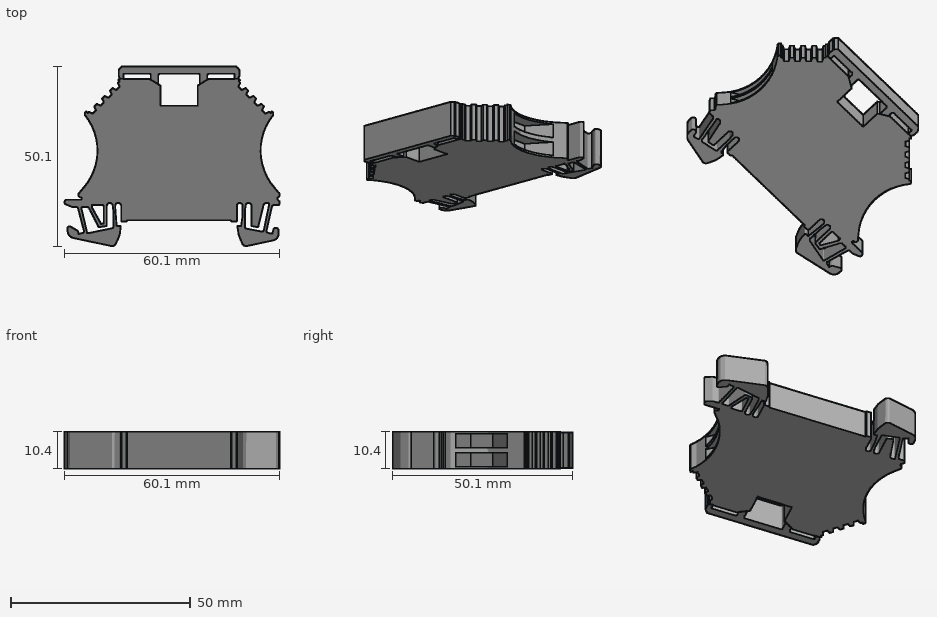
import cadquery as cq
import math


HOUSING_THICKNESS = 10.4
COVER_THICKNESS = 10.0
COVER_TOP_Y = 42.92
HOUSING_TOP_Y = 39.45

NOTCH_HALF_WIDTH = 5.15
NOTCH_FLOOR_Y = 31.95
NOTCH_RIM_Y = 37.55
NOTCH_SLOPE_START_X = 8.35

FLANK_SUM = 55.4
SHOULDER_X = 17.0
FLANK_TIP_X = 26.3
FLANK_TIP_Y = 29.4
TOOTH_GAP_COUNT = 4
TOOTH_PITCH = 3.11
FIRST_GAP_X = 17.8
GAP_DEPTH = 1.1
GAP_FLOOR_WIDTH = 1.28
GAP_MOUTH_WIDTH = 2.05
NICK_DEPTH = 0.4
NICK_PITCH = 1.0
SHOULDER_NICK_Y = 38.8

SIDE_ARC_CENTER_X = 38.52
SIDE_ARC_CENTER_Y = 19.42
SIDE_ARC_RADIUS = 15.77
SIDE_ARC_END_Y = 8.9
SIDE_TIP_X = 28.05
SIDE_TIP_Y = 7.4
SIDE_TIP_BEVEL = 0.45

SKIRT_X = 27.2
RIGHT_SKIRT_X = 27.45
SKIRT_TOP_Y = 6.37
SKIRT_Y = 5.8
BASE_HALF_WIDTH = 16.15
BASE_LIP_WIDTH = 1.75
BASE_LIP_DEPTH = 0.37
LIP_BEVEL = 0.25

FUNNEL_HEIGHT = 3.9
FUNNEL_SPACING = 5.28
FUNNEL_MOUTH_Y = (10.37, 24.72)
FUNNEL_FLOOR_Y = (14.5, 20.69)
FUNNEL_FLOOR_X = 18.6
FUNNEL_OUTER_X = 30.0

COVER_HALF_LENGTH = 16.85
COVER_STRIP_BOTTOM_Y = 40.83
COVER_CORNER_WIDTH = 0.95
COVER_CORNER_HEIGHT = 1.15
COVER_BEVEL_WIDTH = 0.2
COVER_BEVEL_TOP = 0.75
COVER_TAB_INNER_X = 15.45
COVER_TAB_BOTTOM_X = 16.5
COVER_TAB_BEVEL = 0.8
COVER_LEG_X = (5.75, 7.9)
COVER_LEG_RADIUS = 0.4
COVER_OVERLAP = 1.5

CLIP_BOTTOM_CORNER_Y = -7.37
SLOT_TOP_Y = 4.8
SLOT_RADIUS = 0.7
SMALL_RADIUS = 0.3
SLOT_ROUND_END_Y = SLOT_TOP_Y - SLOT_RADIUS
TOE_TOP_Y = -1.53
TOE_INNER_X = 17.0
HEEL_Y = -3.75

LEFT_CLIP_OUTLINE = [
    (-BASE_HALF_WIDTH, SKIRT_TOP_Y, 0),
    (-SKIRT_X, SKIRT_TOP_Y, 0),
    (-SKIRT_X, SKIRT_Y, 0),
    (-31.95, SKIRT_Y, 0.75),
    (-31.95, 4.6, 0.6),
    (-29.8, 3.68, 1.0),
    (-28.25, 3.68, 0.4),
    (-26.4, -3.4, 0.4),
    (-27.95, HEEL_Y, 0),
    (-28.2, -2.9, 0.3),
    (-30.3, -1.7, 0.6),
    (-31.1, -1.7, 0.5),
    (-31.1, -4.6, 2.2),
    (-18.0, CLIP_BOTTOM_CORNER_Y, 1.2),
    (-16.5, -4.2, 6.0),
    (-16.2, TOE_TOP_Y, SMALL_RADIUS),
    (-TOE_INNER_X, TOE_TOP_Y, 0),
    (-TOE_INNER_X, SLOT_ROUND_END_Y, 0),
    (-BASE_HALF_WIDTH, SLOT_ROUND_END_Y, 0),
]
LEFT_BASE_SLOT = [
    (-BASE_HALF_WIDTH, SLOT_TOP_Y, SLOT_RADIUS),
    (-17.75, SLOT_TOP_Y, SLOT_RADIUS),
    (-17.7, 2.8, 0),
    (-17.35, TOE_TOP_Y, 0),
    (-BASE_HALF_WIDTH, TOE_TOP_Y, 0),
]
LEFT_SPRING_SLOT = [
    (-27.25, 3.68, SMALL_RADIUS),
    (-25.25, 3.68, 0.4),
    (-22.4, -1.95, 0.2),
    (-20.08, -1.6, 0.4),
    (-20.08, SLOT_TOP_Y, SLOT_RADIUS),
    (-18.6, SLOT_TOP_Y, SLOT_RADIUS),
    (-18.3, 2.4, 0),
    (-18.3, -2.1, 0.5),
    (-25.55, -3.6, 0.2),
]
LEFT_WINDOW = [
    (-24.2, 4.24, 0),
    (-21.02, 4.24, SMALL_RADIUS),
    (-21.02, -0.8, 0),
    (-21.7, -0.97, 0.1),
    (-24.2, 3.5, 0),
]

RIGHT_CLIP_OUTLINE = [
    (BASE_HALF_WIDTH, SKIRT_TOP_Y, 0),
    (RIGHT_SKIRT_X, SKIRT_TOP_Y, 0),
    (RIGHT_SKIRT_X, SKIRT_Y, 0),
    (28.2, 5.05, 0.4),
    (27.8, 4.24, 0.2),
    (26.0, 4.24, 0.6),
    (24.3, -3.3, SMALL_RADIUS),
    (25.95, HEEL_Y, 0.1),
    (26.4, -2.1, 0.6),
    (27.76, -2.1, 0.75),
    (27.76, -5.3, 2.0),
    (18.0, CLIP_BOTTOM_CORNER_Y, 1.2),
    (16.6, -4.2, 6.0),
    (16.2, TOE_TOP_Y, SMALL_RADIUS),
    (TOE_INNER_X, TOE_TOP_Y, 0),
    (TOE_INNER_X, SLOT_ROUND_END_Y, 0),
    (BASE_HALF_WIDTH, SLOT_ROUND_END_Y, 0),
]
RIGHT_BASE_SLOT = [
    (BASE_HALF_WIDTH, SLOT_TOP_Y, SLOT_RADIUS),
    (17.67, SLOT_TOP_Y, SLOT_RADIUS),
    (17.67, 1.2, 0),
    (17.25, TOE_TOP_Y, 0),
    (BASE_HALF_WIDTH, TOE_TOP_Y, 0),
]
RIGHT_SPRING_SLOT = [
    (18.7, SLOT_TOP_Y, SLOT_RADIUS),
    (20.15, SLOT_TOP_Y, SLOT_RADIUS),
    (20.15, -1.6, 0.2),
    (22.05, -1.95, 0.4),
    (23.7, SLOT_TOP_Y, SLOT_RADIUS),
    (25.15, SLOT_TOP_Y, SMALL_RADIUS),
    (23.5, -3.2, 0.5),
    (18.4, -2.2, 0.4),
    (18.4, 2.8, 0),
]


def rounded_outline(corners):
    """Closed wire through the corners, each rounded to its own radius."""
    pieces = []
    for index, (x, y, radius) in enumerate(corners):
        corner = cq.Vector(x, y)
        before = cq.Vector(*corners[index - 1][:2])
        after = cq.Vector(*corners[(index + 1) % len(corners)][:2])
        to_before = (before - corner).normalized()
        to_after = (after - corner).normalized()
        if radius == 0:
            pieces.append((corner, None, corner))
            continue
        half_angle = to_before.getAngle(to_after) / 2
        setback = radius / math.tan(half_angle)
        bulge = radius / math.sin(half_angle) - radius
        middle = corner + (to_before + to_after).normalized() * bulge
        pieces.append((corner + to_before * setback, middle, corner + to_after * setback))

    edges = []
    for index, (start, middle, end) in enumerate(pieces):
        edges.append(cq.Edge.makeLine(pieces[index - 1][2], start))
        if middle is not None:
            edges.append(cq.Edge.makeThreePointArc(start, middle, end))
    return cq.Wire.assembleEdges(edges)


def prism(corners, thickness=HOUSING_THICKNESS):
    """Rounded outline extruded along Z, centred in the housing's thickness."""
    bottom_z = (HOUSING_THICKNESS - thickness) / 2
    face = cq.Face.makeFromWires(rounded_outline(corners))
    solid = cq.Solid.extrudeLinear(face, cq.Vector(0, 0, thickness))
    return cq.Workplane(solid.translate(cq.Vector(0, 0, bottom_z)))


def both_sides(half):
    return half.union(half.mirror("YZ"))


def side_arc_x(y):
    """X of the concave side at height y."""
    rise = y - SIDE_ARC_CENTER_Y
    return SIDE_ARC_CENTER_X - math.sqrt(SIDE_ARC_RADIUS**2 - rise**2)


def make_housing_half():
    lip_start_x = BASE_HALF_WIDTH - BASE_LIP_WIDTH
    return (
        cq.Workplane()
        .moveTo(0, 0)
        .lineTo(lip_start_x, 0)
        .lineTo(lip_start_x + LIP_BEVEL, -BASE_LIP_DEPTH)
        .lineTo(BASE_HALF_WIDTH - LIP_BEVEL, -BASE_LIP_DEPTH)
        .lineTo(BASE_HALF_WIDTH, LIP_BEVEL - BASE_LIP_DEPTH)
        .lineTo(BASE_HALF_WIDTH, SKIRT_TOP_Y)
        .lineTo(SIDE_TIP_X - SIDE_TIP_BEVEL, SKIRT_TOP_Y)
        .lineTo(SIDE_TIP_X, SKIRT_TOP_Y + SIDE_TIP_BEVEL)
        .lineTo(SIDE_TIP_X, SIDE_TIP_Y)
        .lineTo(side_arc_x(SIDE_ARC_END_Y), SIDE_ARC_END_Y)
        .threePointArc(
            (SIDE_ARC_CENTER_X - SIDE_ARC_RADIUS, SIDE_ARC_CENTER_Y),
            (side_arc_x(FLANK_TIP_Y), FLANK_TIP_Y),
        )
        .lineTo(FLANK_TIP_X, FLANK_TIP_Y + NICK_PITCH / 2)
        .lineTo(FLANK_TIP_X - NICK_DEPTH, FLANK_TIP_Y + NICK_PITCH)
        .lineTo(FLANK_TIP_X - 2 * NICK_DEPTH, FLANK_TIP_Y + NICK_PITCH / 2)
        .lineTo(FLANK_SUM - FLANK_TIP_Y - NICK_PITCH, FLANK_TIP_Y + NICK_PITCH)
        .lineTo(SHOULDER_X, FLANK_SUM - SHOULDER_X)
        .lineTo(SHOULDER_X - NICK_DEPTH, SHOULDER_NICK_Y)
        .lineTo(SHOULDER_X, HOUSING_TOP_Y - NICK_DEPTH)
        .lineTo(SHOULDER_X - NICK_DEPTH, HOUSING_TOP_Y)
        .lineTo(NOTCH_SLOPE_START_X, HOUSING_TOP_Y)
        .lineTo(NOTCH_HALF_WIDTH, NOTCH_RIM_Y)
        .lineTo(NOTCH_HALF_WIDTH, NOTCH_FLOOR_Y)
        .lineTo(0, NOTCH_FLOOR_Y)
        .close()
        .extrude(HOUSING_THICKNESS)
    )


def make_tooth_gaps():
    """Tapered gaps between the teeth of the +X flank."""
    gap = prism(
        [
            (-GAP_FLOOR_WIDTH / 2, -GAP_DEPTH, 0),
            (GAP_FLOOR_WIDTH / 2, -GAP_DEPTH, 0),
            (GAP_MOUTH_WIDTH / 2, 0, 0),
            (GAP_MOUTH_WIDTH / 2, GAP_DEPTH, 0),
            (-GAP_MOUTH_WIDTH / 2, GAP_DEPTH, 0),
            (-GAP_MOUTH_WIDTH / 2, 0, 0),
        ]
    ).rotate((0, 0, 0), (0, 0, 1), -45)
    gaps = cq.Workplane()
    for index in range(TOOTH_GAP_COUNT):
        x = FIRST_GAP_X + index * TOOTH_PITCH * math.sqrt(0.5)
        gaps = gaps.add(gap.translate((x, FLANK_SUM - x, 0)))
    return gaps.combine()


def make_funnels():
    """Two stacked wire funnels opening in the +X concave side."""
    mouth_bottom, mouth_top = FUNNEL_MOUTH_Y
    floor_bottom, floor_top = FUNNEL_FLOOR_Y
    funnel = prism(
        [
            (FUNNEL_OUTER_X, mouth_bottom, 0),
            (side_arc_x(mouth_bottom), mouth_bottom, 0),
            (FUNNEL_FLOOR_X, floor_bottom, 0),
            (FUNNEL_FLOOR_X, floor_top, 0),
            (side_arc_x(mouth_top), mouth_top, 0),
            (FUNNEL_OUTER_X, mouth_top, 0),
        ],
        FUNNEL_HEIGHT,
    )
    lower = funnel.translate((0, 0, -FUNNEL_SPACING / 2))
    upper = funnel.translate((0, 0, FUNNEL_SPACING / 2))
    return lower.union(upper)


def make_cover():
    """Strip over the notch, carried by two legs on the rim slopes and a tab at each end."""
    leg_inner, leg_outer = COVER_LEG_X
    strip_half = prism(
        [
            (0, COVER_STRIP_BOTTOM_Y, 0),
            (leg_inner, COVER_STRIP_BOTTOM_Y, COVER_LEG_RADIUS),
            (leg_inner, NOTCH_RIM_Y, 0),
            (leg_outer, NOTCH_RIM_Y, 0),
            (leg_outer, COVER_STRIP_BOTTOM_Y, COVER_LEG_RADIUS),
            (COVER_TAB_INNER_X, COVER_STRIP_BOTTOM_Y, 0),
            (COVER_TAB_INNER_X, HOUSING_TOP_Y - COVER_OVERLAP, 0),
            (COVER_TAB_BOTTOM_X, HOUSING_TOP_Y - COVER_OVERLAP, 0),
            (COVER_TAB_BOTTOM_X, HOUSING_TOP_Y, 0),
            (COVER_HALF_LENGTH, HOUSING_TOP_Y + COVER_TAB_BEVEL, 0),
            (COVER_HALF_LENGTH, COVER_TOP_Y - COVER_CORNER_HEIGHT, 0),
            (COVER_HALF_LENGTH - COVER_BEVEL_WIDTH, COVER_TOP_Y - COVER_BEVEL_TOP, 0),
            (COVER_HALF_LENGTH - COVER_CORNER_WIDTH, COVER_TOP_Y, 0),
            (0, COVER_TOP_Y, 0),
        ],
        COVER_THICKNESS,
    )
    return both_sides(strip_half)


housing_half = make_housing_half().cut(make_tooth_gaps()).cut(make_funnels())
result = both_sides(housing_half).union(make_cover())
result = result.union(prism(LEFT_CLIP_OUTLINE)).union(prism(RIGHT_CLIP_OUTLINE))
for opening in (
    LEFT_BASE_SLOT,
    LEFT_SPRING_SLOT,
    LEFT_WINDOW,
    RIGHT_BASE_SLOT,
    RIGHT_SPRING_SLOT,
):
    result = result.cut(prism(opening))